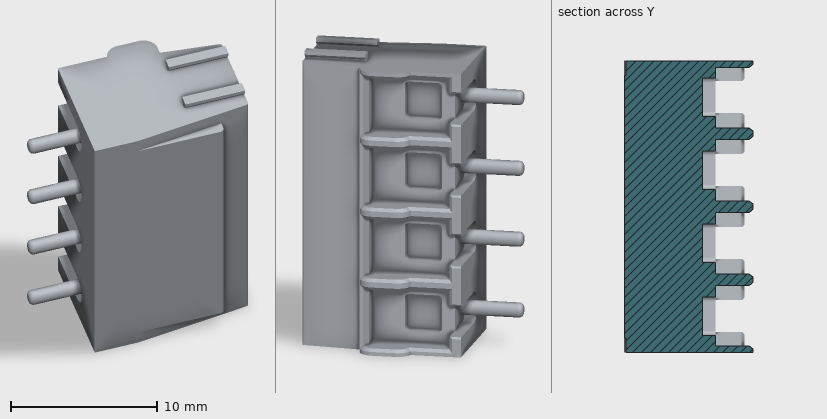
import cadquery as cq
import math


POLES = 4
PITCH = 5.0
HEIGHT = POLES * PITCH

BODY_WIDTH = 8.25
BODY_TOP_Y = 11.4
SHOULDER_Y = 7.1
SHOULDER_X = 0.75
HEAD_LEFT_X = 1.25
HEAD_RIGHT_X = 7.25
RIGHT_TAPER_Y = 3.1
HEAD_RADIUS = 0.2

RIB_TOP_Y = 9.35
RIB_INSET = 1.0
RIB_RADIUS = 0.3

WALL = 0.8
END_WALL = 0.47
EDGE_CHAMFER = 0.21
LOBE_REACH = 0.75
LOBE_RADIUS = 1.0
LOBE_LENGTH = 3.6

POCKET_DEPTH = 1.97
FRONT_WALL = 0.83
BACK_WALL_Y = 6.55
BACK_BEVEL_X = 0.6
BACK_BEVEL_Y = 0.3

WINDOW_SIZE = 2.6
WINDOW_Y = 3.05
WINDOW_DEPTH = 0.88
WINDOW_RADIUS = 0.3

PIN_X = 4.23
PIN_RADIUS = 0.52
PIN_LENGTH = 3.5
PIN_TIP_RADIUS = 0.32
SLOT_RADIUS = 1.1
SLOT_MOUTH_CHAMFER = 0.12

RIDGE_XS = (2.4, 6.1)
RIDGE_WIDTH = 0.75
RIDGE_FOOT_WIDTH = 0.35
RIDGE_HEIGHT = 0.57
RIDGE_NECK = 0.12
RIDGE_FLANK = 0.27

OVERLAP = 1.0

POLE_CENTRES = [(i + 0.5) * PITCH for i in range(POLES)]


def make_body():
    """Constant cross-section with a head that narrows towards +Y."""
    body = (
        cq.Workplane("XY")
        .moveTo(0, 0)
        .lineTo(BODY_WIDTH, 0)
        .lineTo(BODY_WIDTH, RIGHT_TAPER_Y)
        .lineTo(HEAD_RIGHT_X, BODY_TOP_Y)
        .lineTo(HEAD_LEFT_X, BODY_TOP_Y)
        .lineTo(SHOULDER_X, SHOULDER_Y)
        .lineTo(0, SHOULDER_Y)
        .close()
        .extrude(HEIGHT)
    )
    return body.faces(">Y").edges("|Z").fillet(HEAD_RADIUS)


def make_side_rib():
    """Straight rib on the +X side, set in from both ends of the body."""
    rib_left = BODY_WIDTH / 2
    rib = cq.Workplane("XY").box(
        BODY_WIDTH - rib_left, RIB_TOP_Y, HEIGHT - 2 * RIB_INSET, centered=False
    )
    return rib.edges(">X and >Y").fillet(RIB_RADIUS).translate((rib_left, 0, RIB_INSET))


def make_pocket_cutter():
    """Pocket along the whole height, flared where it meets the pocket face."""
    return (
        cq.Workplane("XY")
        .moveTo(-OVERLAP, FRONT_WALL - EDGE_CHAMFER)
        .lineTo(0, FRONT_WALL - EDGE_CHAMFER)
        .lineTo(EDGE_CHAMFER, FRONT_WALL)
        .lineTo(POCKET_DEPTH, FRONT_WALL)
        .lineTo(POCKET_DEPTH, BACK_WALL_Y)
        .lineTo(BACK_BEVEL_X, BACK_WALL_Y)
        .lineTo(0, BACK_WALL_Y + BACK_BEVEL_Y)
        .lineTo(-OVERLAP, BACK_WALL_Y + BACK_BEVEL_Y)
        .close()
        .extrude(HEIGHT)
    )


def divider_outline(z):
    """Divider outline at height z, running into the body behind the pocket."""
    root_x = POCKET_DEPTH + OVERLAP
    arc_x = LOBE_RADIUS - LOBE_REACH
    upper_y = SHOULDER_Y - LOBE_RADIUS
    lower_y = SHOULDER_Y - LOBE_LENGTH + LOBE_RADIUS
    diagonal = LOBE_RADIUS * math.sqrt(0.5)
    lower_end_y = lower_y - math.sqrt(LOBE_RADIUS**2 - arc_x**2)
    return (
        cq.Workplane("XY", origin=(0, 0, z))
        .moveTo(root_x, 0)
        .lineTo(root_x, SHOULDER_Y)
        .lineTo(arc_x, SHOULDER_Y)
        .threePointArc((arc_x - diagonal, upper_y + diagonal), (-LOBE_REACH, upper_y))
        .lineTo(-LOBE_REACH, lower_y)
        .threePointArc((arc_x - diagonal, lower_y - diagonal), (0, lower_end_y))
        .lineTo(0, 0)
        .close()
    )


def make_divider(z):
    """Divider centred on height z with 45 degree edges on both sides."""
    half_core = WALL / 2 - EDGE_CHAMFER
    core = divider_outline(-half_core).extrude(2 * half_core)
    bevel = divider_outline(half_core).extrude(EDGE_CHAMFER, taper=45)
    divider = core.union(bevel).union(bevel.mirror("XY"))
    return divider.translate((0, 0, z))


def make_dividers():
    """All dividers, the end ones trimmed flush with the body."""
    end_offset = END_WALL - WALL / 2
    dividers = make_divider(end_offset).union(make_divider(HEIGHT - end_offset))
    for i in range(1, POLES):
        dividers = dividers.union(make_divider(i * PITCH))
    envelope = (
        cq.Workplane("XY")
        .box(2 * OVERLAP + BODY_WIDTH, BODY_TOP_Y, HEIGHT, centered=False)
        .translate((-OVERLAP, 0, 0))
    )
    return dividers.intersect(envelope)


def make_window_cutter(z):
    """Rounded square recess in the pocket floor."""
    window = cq.Workplane("XY").box(
        WINDOW_DEPTH, WINDOW_SIZE, WINDOW_SIZE, centered=(False, True, True)
    )
    return window.edges("|X").fillet(WINDOW_RADIUS).translate((POCKET_DEPTH, WINDOW_Y, z))


def make_slot_cutter(z):
    """Slot through the front wall, open at the pocket face with a bevelled mouth."""
    mouth = SLOT_RADIUS + SLOT_MOUTH_CHAMFER
    return (
        cq.Workplane("XZ", origin=(0, 0, z))
        .moveTo(0, mouth)
        .lineTo(SLOT_MOUTH_CHAMFER, SLOT_RADIUS)
        .lineTo(PIN_X, SLOT_RADIUS)
        .threePointArc((PIN_X + SLOT_RADIUS, 0), (PIN_X, -SLOT_RADIUS))
        .lineTo(SLOT_MOUTH_CHAMFER, -SLOT_RADIUS)
        .lineTo(0, -mouth)
        .close()
        .extrude(-FRONT_WALL)
    )


def make_pin(z):
    """Round pin with a rounded tip, rooted behind the slot floor."""
    root_y = FRONT_WALL + OVERLAP
    pin = cq.Workplane("XZ", origin=(PIN_X, root_y, z)).circle(PIN_RADIUS).extrude(root_y + PIN_LENGTH)
    return pin.faces("<Y").edges().fillet(PIN_TIP_RADIUS)


def make_ridge(x):
    """Undercut ridge on the top face, from the shoulder to the end of the head."""
    flank_z = RIDGE_HEIGHT - RIDGE_FLANK
    return (
        cq.Workplane("XZ", origin=(x, SHOULDER_Y, HEIGHT))
        .moveTo(-RIDGE_FOOT_WIDTH / 2, 0)
        .lineTo(-RIDGE_FOOT_WIDTH / 2, RIDGE_NECK)
        .lineTo(-RIDGE_WIDTH / 2, flank_z)
        .lineTo(-RIDGE_WIDTH / 2, RIDGE_HEIGHT)
        .lineTo(RIDGE_WIDTH / 2, RIDGE_HEIGHT)
        .lineTo(RIDGE_WIDTH / 2, flank_z)
        .lineTo(RIDGE_FOOT_WIDTH / 2, RIDGE_NECK)
        .lineTo(RIDGE_FOOT_WIDTH / 2, 0)
        .close()
        .extrude(-(BODY_TOP_Y - SHOULDER_Y))
    )


result = make_body().union(make_side_rib()).cut(make_pocket_cutter()).union(make_dividers())
for pole_z in POLE_CENTRES:
    result = result.cut(make_window_cutter(pole_z)).cut(make_slot_cutter(pole_z))
    result = result.union(make_pin(pole_z))
for ridge_x in RIDGE_XS:
    result = result.union(make_ridge(ridge_x))